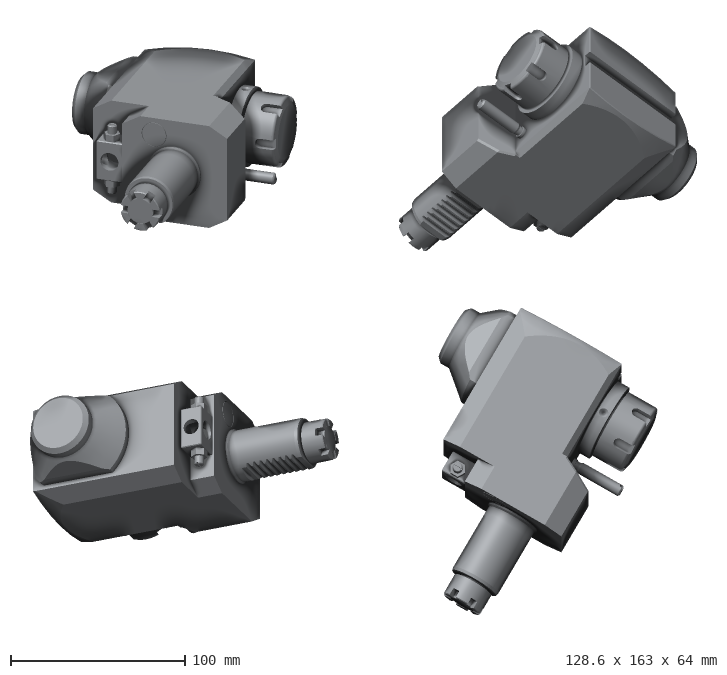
import cadquery as cq
import math



overall_length_x = 128.63
overall_length_y = 163.0

body_half_height = 32.0
body_left_x = -55.0
foot_half_width = 32.0
upper_right_x = 12.0
body_back_y = 104.0
step_y = 15.0
bevel_width = 11.0
bevel_height = bevel_width * math.tan(math.radians(30))
slope_start_y = 41.0
slope_end_y = 31.0
shoulder_chamfer = 1.0
flange_chamfer = 3.2
back_chamfer = 0.5
keyway_width = 10.0
keyway_depth = 4.2

relief_axis_x = -14.0
relief_start_y = 101.0
relief_angle = 15.0
relief_radius = 142.0

spindle_y = 75.0
collar_start_x = 13.0
collar_end_x = 20.3
collar_radius = 23.4
neck_radius = 17.5
nut_start_x = 21.5
nut_end_x = 41.8
nut_radius = 21.0
nut_face_radius = 16.0
nut_rounding_start_x = 39.2
nut_rounding_end_x = 40.8
nut_rounding_end_radius = 19.3
slot_count = 6
nut_slot_width = 6.0
nut_slot_depth = 3.2
nut_slot_start_x = 29.6
collar_hole_diameter = 5.4
collar_hole_depth = 2.5

cover_end_x = -83.8
cap_radius = 18.2
cap_chamfer = 2.6
cap_start_x = -75.6
cover_radius = 31.8
cover_cone_x = -59.5
cover_half_height = 23.2
cover_taper_x = -62.1
cover_taper_angle = 16.0
cover_back_y = 99.6
cover_edge_chamfer = 1.9

pin_y = 46.7
pin_z = -17.2
pin_radius = 3.4
pin_neck_radius = 2.7
pin_root_end_x = 14.0
pin_neck_end_x = 16.5
pin_neck_taper = 1.2
pin_end_x = cover_end_x + overall_length_x
pin_chamfer = 0.8
pin_outlet_diameter = 3.8
pin_outlet_depth = 2.5

shank_radius = 15.0
shank_length = 44.5
shank_chamfer = 1.8
shank_end_radius = 14.6
shank_collar_radius = 16.0
shank_collar_length = 1.0
shank_neck_radius = 9.0
drive_start = 45.8
drive_end = body_back_y - overall_length_y
drive_radius = 12.1
drive_core_radius = 7.7
drive_core_recess = 0.4
drive_slot_width = 4.6
drive_slot_length = 4.4
drive_chamfer = 0.5
flat_z = -12.2
flat_start = 6.9
tooth_count = 8
tooth_pitch = 4.03
first_groove = 11.4
groove_opening = 3.0
groove_bottom = 1.0
groove_depth = 1.6
plug_x = -12.5
plug_z = 21.7
plug_radius = 7.6
plug_groove_width = 0.4
plug_groove_depth = 0.6

block_left_x = -48.0
block_y_min = 0.9
block_y_max = 14.0
block_half_height = 12.2
block_edge_chamfer = 0.5
block_hole_x = -40.1
block_hole_diameter = 11.0
block_hole_depth = 11.8
side_hole_y = 7.3
side_hole_diameter = 9.4
side_hole_depth = 14.0
side_bore_diameter = 3.0
side_bore_depth = 15.0
fitting_y = 5.8
hex_across_flats = 8.2
hex_height = 4.1
stud_radius = 2.7
stud_top_z = 21.3
stud_chamfer = 0.4
stud_slot_width = 0.8
stud_slot_depth = 0.8


def box(x_range, y_range, z_range):
    """Axis-aligned box from three (low, high) ranges."""
    sizes = [high - low for low, high in (x_range, y_range, z_range)]
    corner = (x_range[0], y_range[0], z_range[0])
    return cq.Workplane("XY").box(*sizes, centered=False).translate(corner)


def cylinder(start, direction, radius, length):
    return cq.Workplane(obj=cq.Solid.makeCylinder(radius, length, cq.Vector(*start), cq.Vector(*direction)))


def turned_along_x(profile, axis_y, axis_z=0.0):
    """Revolve (x, radius) points about an axis parallel to X."""
    solid = cq.Workplane("XY").polyline(profile).close().revolve(360, (0, 0, 0), (1, 0, 0))
    return solid.translate((0, axis_y, axis_z))


def beveled_bar(left_x, right_x, y_min, y_max):
    """Bar along Y whose four long edges carry the 30 degree bevels."""
    edge_z = body_half_height - bevel_height
    outline = [
        (left_x, -edge_z),
        (left_x + bevel_width, -body_half_height),
        (right_x - bevel_width, -body_half_height),
        (right_x, -edge_z),
        (right_x, edge_z),
        (right_x - bevel_width, body_half_height),
        (left_x + bevel_width, body_half_height),
        (left_x, edge_z),
    ]
    return cq.Workplane("XZ", origin=(0, y_max, 0)).polyline(outline).close().extrude(y_max - y_min)


def relief_cone():
    """Cone about a Y-parallel axis whose upper side shapes the top back end of the body."""
    slope = math.tan(math.radians(relief_angle))
    radius_at_seat = relief_radius + body_back_y * slope
    top_z = body_half_height - (body_back_y - relief_start_y) * slope
    rim_y = body_back_y - back_chamfer
    profile = [
        (0, 0),
        (radius_at_seat, 0),
        (relief_radius + back_chamfer * slope, rim_y),
        (relief_radius - back_chamfer * (1 - slope), body_back_y),
        (0, body_back_y),
    ]
    cone = cq.Workplane("XY").polyline(profile).close().revolve(360, (0, 0, 0), (0, 1, 0))
    return cone.translate((relief_axis_x, 0, top_z - relief_radius))


def housing():
    body = beveled_bar(-foot_half_width, foot_half_width, 0, body_back_y)
    body = body.union(beveled_bar(body_left_x, foot_half_width, step_y, body_back_y))

    slope_run = foot_half_width - upper_right_x
    slope_drop = slope_start_y - slope_end_y
    clearance = [
        (upper_right_x, slope_start_y),
        (foot_half_width, slope_end_y),
        (foot_half_width, body_back_y),
        (upper_right_x, body_back_y),
    ]
    cutter = cq.Workplane("XY").polyline(clearance).close().extrude(body_half_height, both=True)
    body = body.cut(cutter)
    shoulder = cq.selectors.ParallelDirSelector(cq.Vector(slope_drop, slope_run, 0))
    body = body.faces(shoulder).edges("not |Z").chamfer(shoulder_chamfer)

    triangle = [
        (upper_right_x, body_half_height),
        (upper_right_x - flange_chamfer, body_half_height),
        (upper_right_x, body_half_height - flange_chamfer),
    ]
    length = body_back_y - slope_start_y
    strip = cq.Workplane("XZ", origin=(0, body_back_y, 0)).polyline(triangle).close().extrude(length)
    body = body.cut(strip).cut(strip.mirror("XY"))

    body = body.faces(">Y").edges("|Z").chamfer(back_chamfer)
    cone = relief_cone()
    body = body.intersect(cone).intersect(cone.mirror("XY"))

    keyway = box(
        (body_left_x, upper_right_x),
        (body_back_y - keyway_depth, body_back_y),
        (-keyway_width / 2, keyway_width / 2),
    )
    plug_center = (plug_x, 0, plug_z)
    groove = cylinder(plug_center, (0, 1, 0), plug_radius, plug_groove_depth)
    plug = cylinder(plug_center, (0, 1, 0), plug_radius - plug_groove_width, plug_groove_depth)
    return body.cut(keyway).cut(groove.cut(plug))


def rear_cover():
    inner_radius = cap_radius - cap_chamfer
    cap = turned_along_x(
        [
            (cover_end_x, 0),
            (cover_end_x, inner_radius),
            (cover_end_x + cap_chamfer, cap_radius),
            (body_left_x, cap_radius),
            (body_left_x, 0),
        ],
        spindle_y,
    )
    hood = turned_along_x(
        [
            (cap_start_x, 0),
            (cap_start_x, cap_radius),
            (cover_cone_x, cover_radius),
            (body_left_x, cover_radius),
            (body_left_x, 0),
        ],
        spindle_y,
    )
    taper_drop = (cover_taper_x - cap_start_x) * math.tan(math.radians(cover_taper_angle))
    tip_half_height = cover_half_height - taper_drop
    outline = [
        (cap_start_x, -tip_half_height),
        (cover_taper_x, -cover_half_height),
        (body_left_x, -cover_half_height),
        (body_left_x, cover_half_height),
        (cover_taper_x, cover_half_height),
        (cap_start_x, tip_half_height),
    ]
    trim_depth = cover_back_y - spindle_y + cover_radius
    trim = cq.Workplane("XZ", origin=(0, cover_back_y, 0)).polyline(outline).close().extrude(trim_depth)
    trim = trim.faces(">Y").edges("not |Z").edges("not(<X)").chamfer(cover_edge_chamfer)
    return hood.intersect(trim).union(cap)


def spindle():
    nose = turned_along_x(
        [
            (upper_right_x, 0),
            (upper_right_x, neck_radius),
            (collar_start_x, neck_radius),
            (collar_start_x, collar_radius),
            (collar_end_x, collar_radius),
            (collar_end_x, neck_radius),
            (nut_start_x, neck_radius),
            (nut_start_x, 0),
        ],
        spindle_y,
    )
    hole = cq.Solid.makeCone(
        0,
        collar_hole_diameter / 2,
        collar_hole_depth,
        cq.Vector((collar_start_x + collar_end_x) / 2, spindle_y, collar_radius - collar_hole_depth),
    )
    return nose.cut(cq.Workplane(obj=hole)).union(clamping_nut())


def clamping_nut():
    nut = (
        cq.Workplane("XY")
        .moveTo(nut_start_x, 0)
        .lineTo(nut_start_x, nut_radius)
        .lineTo(nut_rounding_start_x, nut_radius)
        .tangentArcPoint((nut_rounding_end_x, nut_rounding_end_radius), relative=False)
        .lineTo(nut_end_x, nut_face_radius)
        .lineTo(nut_end_x, 0)
        .close()
        .revolve(360, (0, 0, 0), (1, 0, 0))
    )
    half_width = nut_slot_width / 2
    floor_z = nut_radius - nut_slot_depth
    round_x = nut_slot_start_x + half_width
    slot = box((round_x, nut_end_x), (-half_width, half_width), (floor_z, nut_radius))
    slot = slot.union(cylinder((round_x, 0, floor_z), (0, 0, 1), half_width, nut_slot_depth))
    pitch = 360 / slot_count
    for index in range(slot_count):
        nut = nut.cut(slot.rotate((0, 0, 0), (1, 0, 0), (index + 0.5) * pitch))
    return nut.translate((0, spindle_y, 0))


def coolant_pin():
    pin = turned_along_x(
        [
            (upper_right_x, 0),
            (upper_right_x, pin_radius),
            (pin_root_end_x, pin_radius),
            (pin_root_end_x, pin_neck_radius),
            (pin_neck_end_x, pin_neck_radius),
            (pin_neck_end_x + pin_neck_taper, pin_radius),
            (pin_end_x - pin_chamfer, pin_radius),
            (pin_end_x, pin_radius - pin_chamfer),
            (pin_end_x, 0),
        ],
        pin_y,
        pin_z,
    )
    aim = math.atan2(-pin_z, spindle_y - pin_y)
    direction = (1, math.cos(aim), math.sin(aim))
    rim = (pin_end_x, pin_y + pin_radius * direction[1], pin_z + pin_radius * direction[2])
    start = [place - pin_outlet_depth * step for place, step in zip(rim, direction)]
    outlet = cylinder(start, direction, pin_outlet_diameter / 2, 2 * pin_outlet_depth)
    return pin.cut(outlet)


def shank():
    profile = [
        (0, 0),
        (shank_collar_radius, 0),
        (shank_collar_radius, -shank_collar_length),
        (shank_radius, -2 * shank_collar_length),
        (shank_radius, shank_chamfer - shank_length),
        (shank_end_radius, -shank_length),
        (shank_neck_radius, -shank_length),
        (shank_neck_radius, -drive_start),
        (0, -drive_start),
    ]
    body = cq.Workplane("XY").polyline(profile).close().revolve(360, (0, 0, 0), (0, 1, 0))

    flat = box((-shank_radius, shank_radius), (-shank_length, -flat_start), (-shank_radius, flat_z))
    body = body.cut(flat)
    for index in range(tooth_count):
        center = -(first_groove + index * tooth_pitch)
        outline = [
            (center - groove_opening / 2, flat_z),
            (center - groove_bottom / 2, flat_z + groove_depth),
            (center + groove_bottom / 2, flat_z + groove_depth),
            (center + groove_opening / 2, flat_z),
        ]
        groove = cq.Workplane("YZ").polyline(outline).close().extrude(shank_radius, both=True)
        body = body.cut(groove)
    return body.union(drive_coupling())


def drive_coupling():
    """Slotted ring on the drive end around a plain core."""
    length = -drive_start - drive_end
    ring = cylinder((0, drive_end, 0), (0, 1, 0), drive_radius, length)
    ring = ring.faces("<Y").edges().chamfer(drive_chamfer)
    slot = box(
        (0, drive_radius),
        (drive_end, drive_end + drive_slot_length),
        (-drive_slot_width / 2, drive_slot_width / 2),
    )
    for index in range(slot_count):
        ring = ring.cut(slot.rotate((0, 0, 0), (0, 1, 0), index * 360 / slot_count))
    recess = cylinder((0, drive_end, 0), (0, 1, 0), drive_core_radius, drive_core_recess)
    core = cylinder((0, drive_end, 0), (0, 1, 0), drive_core_radius, length)
    return ring.union(core).cut(recess)


def fitting():
    """Hexagon with a slotted stud on the top of the coolant block."""
    hexagon = (
        cq.Workplane("XY")
        .polygon(6, hex_across_flats / math.cos(math.radians(30)))
        .extrude(hex_height)
    )
    stud_length = stud_top_z - block_half_height
    stud = cq.Workplane("XY").circle(stud_radius).extrude(stud_length)
    stud = stud.faces(">Z").edges().chamfer(stud_chamfer)
    slot = box(
        (-stud_radius, stud_radius),
        (-stud_slot_width / 2, stud_slot_width / 2),
        (stud_length - stud_slot_depth, stud_length),
    )
    return hexagon.union(stud.cut(slot)).translate((block_hole_x, fitting_y, block_half_height))


def coolant_block():
    block = box(
        (block_left_x, -foot_half_width),
        (block_y_min, block_y_max),
        (-block_half_height, block_half_height),
    )
    block = block.edges("not(>X)").chamfer(block_edge_chamfer)
    front_hole = cylinder((block_hole_x, block_y_min, 0), (0, 1, 0), block_hole_diameter / 2, block_hole_depth)
    side_hole = cylinder((block_left_x, side_hole_y, 0), (1, 0, 0), side_hole_diameter / 2, side_hole_depth)
    side_bore = cylinder((block_left_x, side_hole_y, 0), (1, 0, 0), side_bore_diameter / 2, side_bore_depth)
    block = block.cut(front_hole).cut(side_hole).cut(side_bore)
    upper = fitting()
    return block.union(upper).union(upper.mirror("XY"))


result = housing()
for component in (rear_cover(), spindle(), coolant_pin(), shank(), coolant_block()):
    result = result.union(component)